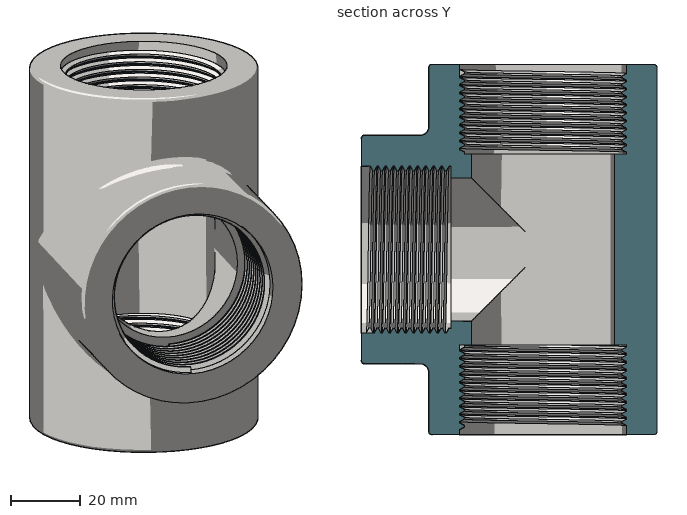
import cadquery as cq
import math

RUN_LENGTH = 106.0
BODY_RADIUS = 32.8
BRANCH_REACH = 52.0
RIM_FILLET = 1.0
CROTCH_FILLET = 2.3

PASSAGE_RADIUS = 20.5
SOCKET_DEPTH = 25.7
MINOR_RADIUS = 22.5
MAJOR_RADIUS = 23.8

THREAD_LENGTH = 22.9
THREAD_TURNS = 10
PITCH = THREAD_LENGTH / THREAD_TURNS
THREAD_START = 2.4
CREST_WIDTH = 0.5
FLANK_ANGLE = math.radians(27.5)
WALL_OVERLAP = 0.1

ORIGIN = (0, 0, 0)


def cylinder_along_x(radius, length):
    return cq.Workplane("YZ").circle(radius).extrude(length)


def outer_body():
    """Solid tee: the upper half gets its crotch fillet, then is mirrored to make the lower half."""
    run = cq.Workplane("XY").circle(BODY_RADIUS).extrude(RUN_LENGTH / 2)
    upper_space = cq.Workplane("XY").box(
        2 * BRANCH_REACH, 2 * BODY_RADIUS, RUN_LENGTH / 2, centered=(True, True, False)
    )
    upper_branch = cylinder_along_x(BODY_RADIUS, BRANCH_REACH).intersect(upper_space)
    upper_half = run.union(upper_branch).edges("%ELLIPSE").fillet(CROTCH_FILLET)
    body = upper_half.union(upper_half.mirror("XY"))
    return body.faces("<Z or >Z or >X").edges().fillet(RIM_FILLET)


def socket_bore():
    """Bore at the major radius, opening upward at z = 0."""
    return cq.Workplane("XY").circle(MAJOR_RADIUS).extrude(-SOCKET_DEPTH)


def thread_ridge():
    """Helical ridge for a socket that opens upward at z = 0; it runs out into the socket floor."""
    root_radius = MAJOR_RADIUS + WALL_OVERLAP
    half_crest = CREST_WIDTH / 2
    half_root = half_crest + (root_radius - MINOR_RADIUS) * math.tan(FLANK_ANGLE)
    helix = cq.Wire.makeHelix(PITCH, THREAD_LENGTH, MINOR_RADIUS)
    ridge = (
        cq.Workplane("XZ")
        .moveTo(root_radius, -half_root)
        .lineTo(MINOR_RADIUS, -half_crest)
        .lineTo(MINOR_RADIUS, half_crest)
        .lineTo(root_radius, half_root)
        .close()
        .sweep(cq.Workplane(helix), isFrenet=True)
    )
    return ridge.translate((0, 0, -THREAD_LENGTH - THREAD_START))


def place_on_top(tool):
    return tool.translate((0, 0, RUN_LENGTH / 2))


def place_on_bottom(tool):
    return place_on_top(tool).rotate(ORIGIN, (1, 0, 0), 180)


def place_on_branch(tool):
    return tool.rotate(ORIGIN, (0, 1, 0), 90).translate((BRANCH_REACH, 0, 0))


result = outer_body()
result = result.cut(cq.Workplane("XY").circle(PASSAGE_RADIUS).extrude(RUN_LENGTH / 2, both=True))
result = result.cut(cylinder_along_x(PASSAGE_RADIUS, BRANCH_REACH))

bore = socket_bore()
ridge = thread_ridge()
for place in (place_on_top, place_on_bottom, place_on_branch):
    result = result.cut(place(bore))
    result = result.union(place(ridge), clean=False)